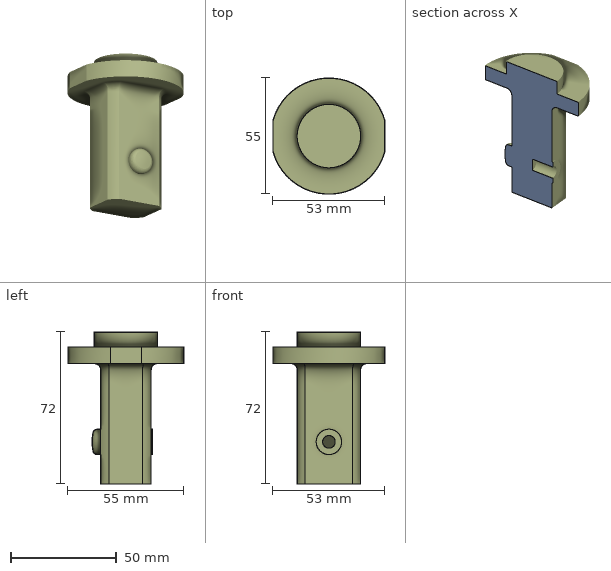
import cadquery as cq
import math

total_height = 72.0
boss_height = 7.0
boss_diameter = 30.0
flange_height = 8.0
flange_diameter = 55.0
flange_width = 53.0
shank_height = total_height - boss_height - flange_height

shank_width = boss_diameter
shank_depth = 24.0
front_face_width = 22.4
side_face_width = 15.8
corner_radius = 15.0
neck_fillet = 2.9

pin_height = 20.0
pin_diameter = 12.0
pin_rear_length = 4.0
pin_front_length = 0.5
pin_dome_height = 0.8
pin_head_fillet = 2.0
pin_hole_diameter = 6.0
pin_hole_depth = 2 * pin_hole_diameter


def flared_profile(plane, half_width):
    """Half section of the shank: a straight wall that flares out in a cove at the top."""
    cove_start = shank_height - neck_fillet
    cove_offset = neck_fillet * (1 - math.sqrt(0.5))
    return (
        cq.Workplane(plane)
        .lineTo(half_width, 0)
        .lineTo(half_width, cove_start)
        .threePointArc(
            (half_width + cove_offset, shank_height - cove_offset),
            (half_width + neck_fillet, shank_height),
        )
        .lineTo(0, shank_height)
        .close()
    )


def corner_arc_center():
    """Center of the corner arc that joins the front and side flats in the +X +Y quadrant."""
    x_start, y_start = shank_width / 2, side_face_width / 2
    x_end, y_end = front_face_width / 2, shank_depth / 2
    chord_x = x_start - x_end
    chord_y = y_end - y_start
    chord = math.hypot(chord_x, chord_y)
    setback = math.sqrt(corner_radius**2 - (chord / 2) ** 2)
    center_x = (x_start + x_end) / 2 - setback * chord_y / chord
    center_y = (y_start + y_end) / 2 - setback * chord_x / chord
    return center_x, center_y


def make_shank():
    """Shank with a coved neck: one quadrant shared by three flared solids, then mirrored."""
    side_wall = flared_profile("XZ", shank_width / 2).extrude(-shank_width)
    front_wall = flared_profile("YZ", shank_depth / 2).extrude(shank_width)
    corner = flared_profile("XZ", corner_radius).revolve(360, (0, 0, 0), (0, 1, 0))
    corner = corner.translate((*corner_arc_center(), 0))
    quadrant = side_wall.intersect(front_wall).intersect(corner)
    half = quadrant.union(quadrant.mirror("YZ"))
    return half.union(half.mirror("XZ"))


def make_flange():
    """Round flange with a flat on each X side."""
    flats = cq.Workplane("XY").box(flange_width, flange_diameter, flange_height, centered=(True, True, False))
    disc = cq.Workplane("XY").circle(flange_diameter / 2).extrude(flange_height)
    return disc.intersect(flats).translate((0, 0, shank_height))


def make_boss():
    base = cq.Workplane("XY").workplane(offset=shank_height + flange_height)
    return base.circle(boss_diameter / 2).extrude(boss_height)


def along_y(diameter, start_y, length):
    """Cylinder at pin height, running from start_y toward +Y."""
    plane = cq.Workplane("XZ", origin=(0, start_y, pin_height))
    return plane.circle(diameter / 2).extrude(-length)


def make_pin():
    """Pin turned about Y, with a shallow spherical rear end and a rounded rim."""
    pin_radius = pin_diameter / 2
    dome_radius = (pin_radius**2 + pin_dome_height**2) / (2 * pin_dome_height)
    rear_y = pin_front_y + pin_length
    rim_y = rear_y - pin_dome_height
    pin = (
        cq.Workplane("XY", origin=(0, 0, pin_height))
        .moveTo(0, pin_front_y)
        .lineTo(pin_radius, pin_front_y)
        .lineTo(pin_radius, rim_y)
        .radiusArc((0, rear_y), -dome_radius)
        .close()
        .revolve(360, (0, 0, 0), (0, 1, 0))
    )
    rim = cq.NearestToPointSelector((0, rim_y, pin_height))
    return pin.edges("%CIRCLE").edges(rim).fillet(pin_head_fillet)


pin_front_y = -shank_depth / 2 - pin_front_length
pin_length = shank_depth + pin_front_length + pin_rear_length

body = make_shank().union(make_flange()).union(make_boss())

pin = make_pin()
pin_hole = along_y(pin_hole_diameter, pin_front_y, pin_hole_depth)

result = body.union(pin).cut(pin_hole).clean()